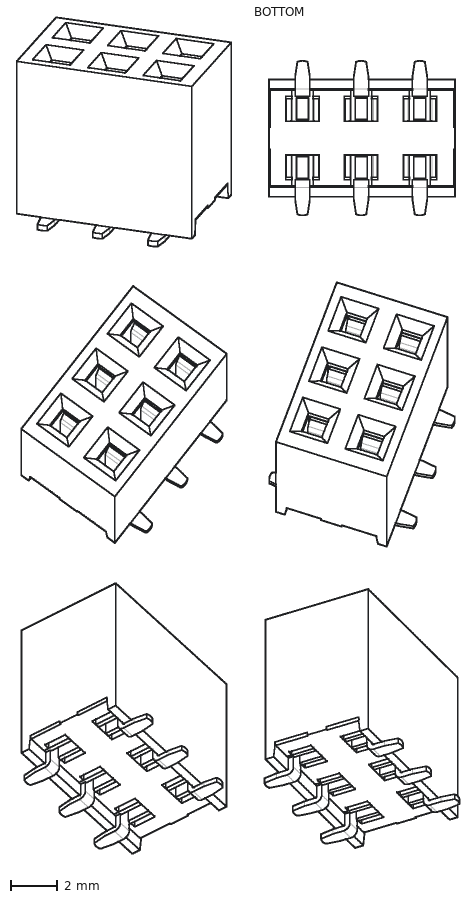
import cadquery as cq
import math


COLUMNS = 3
PITCH = 2.54
GRID_SHIFT = -0.036
ROW_Y = PITCH / 2

LENGTH = 8.06
HEIGHT = 7.2
DEPTH = 5.08

CHANNEL_HEIGHT = 0.605
CHANNEL_HALF_TOP = 2.06
CHANNEL_HALF_BOTTOM = 2.13

NOTCH_RISE = 0.14
NOTCH_RUN = NOTCH_RISE / 2
NOTCH_WIDTH = 2 * (CHANNEL_HALF_TOP - ROW_Y)

MOUTH_SIZE = 1.725
THROAT_SIZE = 0.93
LEAD_IN_DEPTH = 0.5
THROAT_LENGTH = 0.34

SHEET = 0.25
LEG_WIDTH = 0.645
BEND_RADIUS = CHANNEL_HALF_BOTTOM - CHANNEL_HALF_TOP
TAPER_START_Y = 2.67
FOOT_SPAN = 6.7
TIP_Y = FOOT_SPAN / 2
TIP_WIDTH = 0.45
TIP_BULGE = 0.05
LEG_OUTER_Y = CHANNEL_HALF_TOP
LEG_INNER_Y = LEG_OUTER_Y - SHEET

ARM_GAP = 0.51
ARM_SHEET = 0.2
ARM_BASE_Z = CHANNEL_HEIGHT
BACK_TOP_Z = 2.42
ARM_OUTER_Y = ROW_Y + 0.435
ARM_INNER_Y = ROW_Y - 0.53
FLARE_ANGLE = 26.0
FLARE_RADIUS = 0.81
FLARE_LENGTH = 0.4
FLARE_START_Z = 5.255
BACK_WIDTH = ARM_GAP + 2 * ARM_SHEET

CHAMBER_Y = 2 * (LEG_INNER_Y - ROW_Y)
CHAMBER_X = 1.45
CHAMBER_TOP_Z = HEIGHT - LEAD_IN_DEPTH - THROAT_LENGTH


def box(x_size, y_min, y_max, z_min, z_max):
    """A block centred on x = 0."""
    return (
        cq.Workplane("XY")
        .box(x_size, y_max - y_min, z_max - z_min, centered=(True, False, False))
        .translate((0, y_min, z_min))
    )


def place(shape, column, side):
    """Move a shape modelled at x = 0 in the +Y row to its column and row."""
    x = GRID_SHIFT + (column - (COLUMNS - 1) / 2) * PITCH
    turn = 0 if side > 0 else 180
    return shape.rotate((0, 0, 0), (0, 0, 1), turn).translate((x, 0, 0))


def channel():
    """Drafted channel running the full length of the underside."""
    return (
        cq.Workplane("YZ")
        .polyline([
            (-CHANNEL_HALF_BOTTOM, 0),
            (CHANNEL_HALF_BOTTOM, 0),
            (CHANNEL_HALF_TOP, CHANNEL_HEIGHT),
            (-CHANNEL_HALF_TOP, CHANNEL_HEIGHT),
        ])
        .close()
        .extrude(LENGTH / 2, both=True)
    )


def end_notch(end, side):
    """Triangular chamfer notch at one end (-1 or 1) of one row (-1 or 1)."""
    end_x = end * LENGTH / 2
    return (
        cq.Workplane("XZ", origin=(0, side * ROW_Y, 0))
        .moveTo(end_x, CHANNEL_HEIGHT)
        .lineTo(end_x, CHANNEL_HEIGHT + NOTCH_RISE)
        .lineTo(end_x - end * NOTCH_RUN, CHANNEL_HEIGHT)
        .close()
        .extrude(NOTCH_WIDTH / 2, both=True)
    )


def socket_cavity():
    """Lead-in, throat, arm chamber and back-plate slot of one contact position."""
    lead_in = (
        cq.Workplane("XY", origin=(0, ROW_Y, HEIGHT))
        .rect(MOUTH_SIZE, MOUTH_SIZE)
        .workplane(offset=-LEAD_IN_DEPTH)
        .rect(THROAT_SIZE, THROAT_SIZE)
        .loft(ruled=True)
    )
    throat_half = THROAT_SIZE / 2
    throat = box(
        THROAT_SIZE, ROW_Y - throat_half, ROW_Y + throat_half, CHANNEL_HEIGHT, HEIGHT - LEAD_IN_DEPTH
    )
    chamber_half = CHAMBER_Y / 2
    chamber = box(CHAMBER_X, ROW_Y - chamber_half, ROW_Y + chamber_half, CHANNEL_HEIGHT, CHAMBER_TOP_Z)
    back_slot = box(BACK_WIDTH, LEG_INNER_Y, LEG_OUTER_Y, ARM_BASE_Z, BACK_TOP_Z)
    return lead_in.union(throat).union(chamber).union(back_slot)


def make_housing():
    body = box(LENGTH, -DEPTH / 2, DEPTH / 2, 0, HEIGHT).cut(channel())
    cavity = socket_cavity()
    for side in (-1, 1):
        for end in (-1, 1):
            body = body.cut(end_notch(end, side))
        for column in range(COLUMNS):
            body = body.cut(place(cavity, column, side))
    return body


def leg_and_foot():
    """Upright leg bent outwards into a foot with a tapered, rounded tip."""
    bend_y = LEG_OUTER_Y + BEND_RADIUS
    bend_z = BEND_RADIUS

    def bend_middle(radius):
        offset = radius * math.cos(math.pi / 4)
        return (bend_y - offset, bend_z - offset)

    side_profile = (
        cq.Workplane("YZ")
        .moveTo(LEG_OUTER_Y, ARM_BASE_Z)
        .lineTo(LEG_OUTER_Y, bend_z)
        .threePointArc(bend_middle(BEND_RADIUS), (bend_y, 0))
        .lineTo(TIP_Y, 0)
        .lineTo(TIP_Y, -SHEET)
        .lineTo(bend_y, -SHEET)
        .threePointArc(bend_middle(BEND_RADIUS + SHEET), (LEG_INNER_Y, bend_z))
        .lineTo(LEG_INNER_Y, ARM_BASE_Z)
        .close()
        .extrude(LEG_WIDTH / 2, both=True)
    )
    plan = (
        cq.Workplane("XY", origin=(0, 0, -SHEET))
        .moveTo(-LEG_WIDTH / 2, LEG_INNER_Y)
        .lineTo(-LEG_WIDTH / 2, TAPER_START_Y)
        .lineTo(-TIP_WIDTH / 2, TIP_Y - TIP_BULGE)
        .threePointArc((0, TIP_Y), (TIP_WIDTH / 2, TIP_Y - TIP_BULGE))
        .lineTo(LEG_WIDTH / 2, TAPER_START_Y)
        .lineTo(LEG_WIDTH / 2, LEG_INNER_Y)
        .close()
        .extrude(SHEET + ARM_BASE_Z)
    )
    return side_profile.intersect(plan)


def arm():
    """The +X arm: a straight strip whose top bends outwards into a flare."""
    angle = math.radians(FLARE_ANGLE)
    inner_x = ARM_GAP / 2
    center_x = inner_x + FLARE_RADIUS
    back_radius = FLARE_RADIUS - ARM_SHEET

    def on_bend(radius, turn):
        return (center_x - radius * math.cos(turn), FLARE_START_Z + radius * math.sin(turn))

    def along_flare(point):
        return (point[0] + FLARE_LENGTH * math.sin(angle), point[1] + FLARE_LENGTH * math.cos(angle))

    bend_end = on_bend(FLARE_RADIUS, angle)
    back_bend_end = on_bend(back_radius, angle)
    return (
        cq.Workplane("XZ", origin=(0, ARM_OUTER_Y, 0))
        .moveTo(inner_x, ARM_BASE_Z)
        .lineTo(inner_x, FLARE_START_Z)
        .threePointArc(on_bend(FLARE_RADIUS, angle / 2), bend_end)
        .lineTo(*along_flare(bend_end))
        .lineTo(*along_flare(back_bend_end))
        .lineTo(*back_bend_end)
        .threePointArc(on_bend(back_radius, angle / 2), (inner_x + ARM_SHEET, FLARE_START_Z))
        .lineTo(inner_x + ARM_SHEET, ARM_BASE_Z)
        .close()
        .extrude(ARM_OUTER_Y - ARM_INNER_Y)
    )


def make_contact():
    """One contact of the +Y row, centred on x = 0."""
    back_plate = box(BACK_WIDTH, LEG_INNER_Y, LEG_OUTER_Y, ARM_BASE_Z, BACK_TOP_Z)
    arm_link = box(BACK_WIDTH, ARM_OUTER_Y, LEG_INNER_Y, ARM_BASE_Z, BACK_TOP_Z).cut(
        box(ARM_GAP, ARM_OUTER_Y, LEG_INNER_Y, ARM_BASE_Z, BACK_TOP_Z)
    )
    right_arm = arm()
    left_arm = right_arm.mirror("YZ")
    return leg_and_foot().union(back_plate).union(arm_link).union(right_arm).union(left_arm)


housing = make_housing()
contact = make_contact()
contacts = [place(contact, column, side) for side in (-1, 1) for column in range(COLUMNS)]

result = cq.Compound.makeCompound([housing.val(), *[item.val() for item in contacts]])